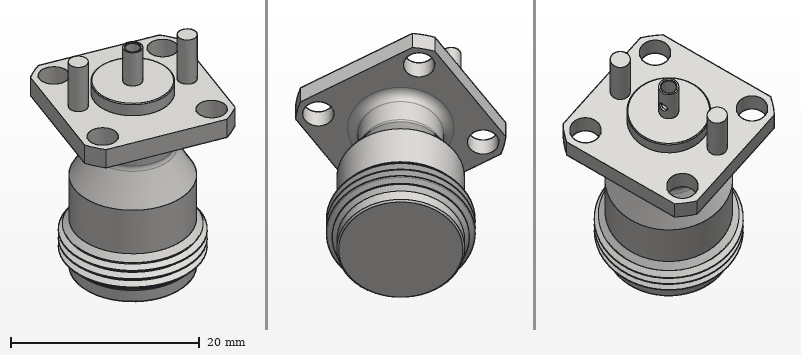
import cadquery as cq
import math

flange_width = 17.5
flange_corner_radius = 11.22
flange_bottom = 20.02
flange_top = 22.35
hole_radius = 1.65
hole_offset = 6.33

body_radius = 6.78
body_top = 11.85
neck_radius = 4.55
neck_fillet = 1.07
taper_fillet = 1.12
taper_angle = math.radians(30)
bottom_chamfer = 0.2

thread_radius = 7.9
thread_root_radius = 7.25
groove_count = 4
groove_span = 3.18
thread_pitch = groove_span / (groove_count - 1)
thread_crest_width = thread_pitch / 8
thread_start = 1.57
thread_end = 6.27
first_groove_height = 2.2
flank_angle = math.radians(30)

boss_radius = 4.45
boss_top = 23.87
boss_chamfer = 0.1
pin_radius = 1.07
contact_top = 28.12
ground_pin_top = 28.0
ground_pin_offset = 6.33
bore_radius = 0.82
bore_chamfer = 0.07
bore_bottom = 24.52
bore_point_angle = math.radians(59)
cross_hole_diameter = 1.05
cross_hole_height = 25.62


def cylinder(radius, bottom, top):
    return cq.Workplane("XY").workplane(offset=bottom).circle(radius).extrude(top - bottom)


def revolve_profile(points):
    """Revolve a closed outline of (radius, height) points around the Z axis."""
    return cq.Workplane("XZ").polyline(points).close().revolve(360, (0, 0, 0), (0, 1, 0))


def make_flange():
    blank = cq.Workplane("XY").workplane(offset=flange_bottom)
    blank = blank.rect(flange_width, flange_width).extrude(flange_top - flange_bottom)
    blank = blank.intersect(cylinder(flange_corner_radius, flange_bottom, flange_top))
    spacing = 2 * hole_offset
    return (
        blank.faces(">Z")
        .workplane(origin=(0, 0, flange_top))
        .rect(spacing, spacing, forConstruction=True)
        .vertices()
        .hole(2 * hole_radius)
    )


def make_body():
    taper_top = body_top + (body_radius - neck_radius) / math.tan(taper_angle)
    tangent_length = taper_fillet * math.tan(taper_angle / 2)
    taper_tangent = (
        neck_radius + tangent_length * math.sin(taper_angle),
        taper_top - tangent_length * math.cos(taper_angle),
    )
    neck_tangent = (neck_radius, taper_top + tangent_length)
    return (
        cq.Workplane("XZ")
        .lineTo(body_radius - bottom_chamfer, 0)
        .lineTo(body_radius, bottom_chamfer)
        .lineTo(body_radius, body_top)
        .lineTo(*taper_tangent)
        .radiusArc(neck_tangent, taper_fillet)
        .lineTo(neck_radius, flange_bottom - neck_fillet)
        .radiusArc((neck_radius + neck_fillet, flange_bottom), neck_fillet)
        .lineTo(0, flange_bottom)
        .close()
        .revolve(360, (0, 0, 0), (0, 1, 0))
    )


def make_thread():
    rise = thread_radius - body_radius
    band = revolve_profile([
        (0, thread_start),
        (body_radius, thread_start),
        (thread_radius, thread_start + rise),
        (thread_radius, thread_end - rise),
        (body_radius, thread_end),
        (0, thread_end),
    ])
    flank_height = (thread_radius - thread_root_radius) * math.tan(flank_angle)
    mouth_half = (thread_pitch - thread_crest_width) / 2
    root_half = mouth_half - flank_height
    for index in range(groove_count):
        middle = first_groove_height + index * thread_pitch
        band = band.cut(revolve_profile([
            (thread_root_radius, middle - root_half),
            (thread_radius, middle - mouth_half),
            (thread_radius, middle + mouth_half),
            (thread_root_radius, middle + root_half),
        ]))
    return band


def make_boss():
    return cylinder(boss_radius, flange_top, boss_top).faces(">Z").chamfer(boss_chamfer)


def make_contact():
    point_depth = bore_radius / math.tan(bore_point_angle)
    bore = revolve_profile([
        (0, bore_bottom - point_depth),
        (bore_radius, bore_bottom),
        (bore_radius, contact_top - bore_chamfer),
        (bore_radius + bore_chamfer, contact_top),
        (0, contact_top),
    ])
    cross_hole = (
        cq.Workplane("YZ")
        .center(0, cross_hole_height)
        .circle(cross_hole_diameter / 2)
        .extrude(-pin_radius)
    )
    return cylinder(pin_radius, boss_top, contact_top).cut(bore).cut(cross_hole)


def make_ground_pins():
    return (
        cq.Workplane("XY")
        .workplane(offset=flange_top)
        .pushPoints([(0, -ground_pin_offset), (0, ground_pin_offset)])
        .circle(pin_radius)
        .extrude(ground_pin_top - flange_top)
    )


result = make_body().union(make_thread()).union(make_flange())
result = result.union(make_boss()).union(make_contact()).union(make_ground_pins())